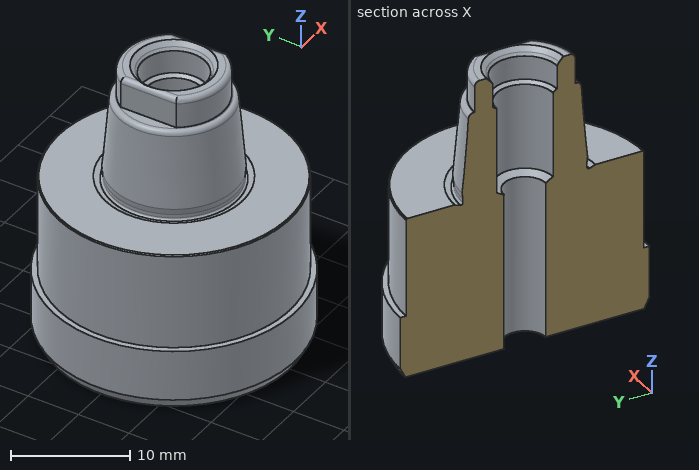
import cadquery as cq
import math

total_height = 26.95
collar_height = 6.0
body_height = 15.5
neck_height = 16.45
stem_height = 23.99

collar_radius = 12.005
collar_chamfer_height = 1.0
collar_chamfer_width = 0.5
body_radius = 11.45
body_edge_chamfer = 0.1

recess_outer_radius = 6.76
recess_inner_radius = 6.2
recess_depth = 0.22

neck_radius = 5.98
neck_top = 15.85
cone_bottom_radius = 6.06
cone_top_radius = 5.42
edge_fillet = 0.5

tip_radius = 4.85
flats_width = 8.0

mouth_radius = 3.7
lead_in_radius = 3.3
socket_radius = 3.07
counterbore_radius = 2.7
through_radius = 2.0
mouth_chamfer_depth = 0.43
lead_in_depth = 0.73
socket_depth = 3.0
ledge_depth = 3.25
drill_point_angle = 118


def revolve_profile(points):
    """Revolve a closed outline of (radius, height) points about Z."""
    return cq.Workplane("XZ").polyline(points).close().revolve(360, (0, 0), (0, 1))


def make_base():
    recess_floor = body_height - recess_depth
    return revolve_profile([
        (0, 0),
        (collar_radius - collar_chamfer_width, 0),
        (collar_radius, collar_chamfer_height),
        (collar_radius, collar_height),
        (body_radius, collar_height),
        (body_radius, body_height - body_edge_chamfer),
        (body_radius - body_edge_chamfer, body_height),
        (recess_outer_radius, body_height),
        (recess_inner_radius, recess_floor),
        (0, recess_floor),
    ])


def make_stem():
    stem = revolve_profile([
        (0, 0),
        (neck_radius, 0),
        (neck_radius, neck_top),
        (cone_bottom_radius, neck_height),
        (cone_top_radius, stem_height),
        (0, stem_height),
    ])
    return stem.faces(">Z").edges().fillet(edge_fillet)


def make_cove():
    """Ring with a concave round joining the neck to the recess floor."""
    cove_radius = recess_inner_radius - neck_radius
    floor = body_height - recess_depth
    return (
        cq.Workplane("XZ")
        .moveTo(neck_radius, floor + cove_radius)
        .radiusArc((recess_inner_radius, floor), -cove_radius)
        .lineTo(recess_inner_radius, floor - cove_radius)
        .lineTo(through_radius, floor - cove_radius)
        .lineTo(through_radius, floor + cove_radius)
        .close()
        .revolve(360, (0, 0), (0, 1))
    )


def make_tip():
    tip_height = total_height - stem_height
    tip = cq.Workplane("XY").workplane(offset=stem_height).circle(tip_radius).extrude(tip_height)
    flats = (
        cq.Workplane("XY")
        .workplane(offset=stem_height)
        .rect(flats_width, 2 * tip_radius)
        .extrude(tip_height)
    )
    return tip.intersect(flats).faces(">Z").edges().fillet(edge_fillet)


def make_bore():
    cone_drop = (counterbore_radius - through_radius) / math.tan(math.radians(drill_point_angle / 2))
    return revolve_profile([
        (0, 0),
        (through_radius, 0),
        (through_radius, body_height - cone_drop),
        (counterbore_radius, body_height),
        (counterbore_radius, total_height - ledge_depth),
        (socket_radius, total_height - socket_depth),
        (socket_radius, total_height - lead_in_depth),
        (lead_in_radius, total_height - mouth_chamfer_depth),
        (mouth_radius, total_height),
        (0, total_height),
    ])


result = make_base().union(make_stem()).union(make_cove()).union(make_tip()).cut(make_bore())